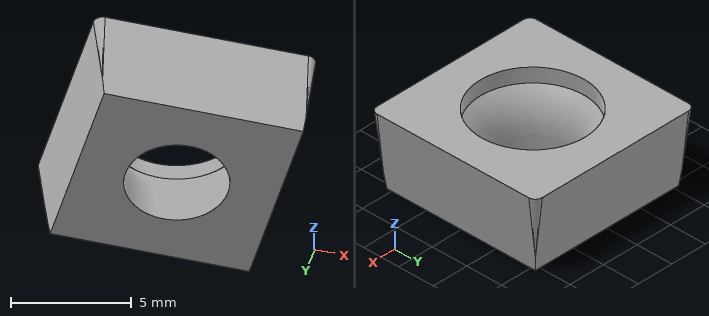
import cadquery as cq
import math

inscribed_circle = 9.525
thickness = 3.97
clearance_angle = 7.0
corner_radius = 0.4

mouth_diameter = 6.0
bore_diameter = 4.4
mouth_depth = 0.8
seat_radius = 3.0

half_top = inscribed_circle / 2
flank_slope = math.tan(math.radians(clearance_angle))
half_bottom = half_top - thickness * flank_slope
corner_center = half_top - corner_radius
cone_height = corner_radius / flank_slope


def tapered_block():
    """Sharp-cornered block, full size on the top face at Z = thickness."""
    return (
        cq.Workplane("XY")
        .rect(2 * half_bottom, 2 * half_bottom)
        .workplane(offset=thickness)
        .rect(2 * half_top, 2 * half_top)
        .loft(ruled=True)
    )


def corner_cone(x_sign, y_sign):
    """Conical nose with a vertical axis, tangent to both neighbouring flanks."""
    center = cq.Vector(x_sign * corner_center, y_sign * corner_center, thickness)
    return cq.Solid.makeCone(corner_radius, 0, cone_height, pnt=center, dir=cq.Vector(0, 0, -1))


def corner_trim(x_sign, y_sign):
    """Stock outside the conical nose, down to the tip of the cone."""
    block_center = (x_sign * half_top, y_sign * half_top, thickness - cone_height / 2)
    block = cq.Workplane("XY", origin=block_center).box(2 * corner_radius, 2 * corner_radius, cone_height)
    return block.cut(cq.Workplane(obj=corner_cone(x_sign, y_sign)))


def screw_hole():
    """Revolved hole; the seat arc is tangent to the bore."""
    mouth_radius = mouth_diameter / 2
    bore_radius = bore_diameter / 2
    mouth_floor = thickness - mouth_depth
    step = mouth_radius - bore_radius
    seat_height = math.sqrt(seat_radius**2 - (seat_radius - step) ** 2)
    seat_bottom = mouth_floor - seat_height
    arc_half_angle = math.acos((seat_radius - step) / seat_radius) / 2
    arc_middle = (
        bore_radius + seat_radius * (1 - math.cos(arc_half_angle)),
        seat_bottom + seat_radius * math.sin(arc_half_angle),
    )
    return (
        cq.Workplane("XZ")
        .moveTo(0, 0)
        .lineTo(bore_radius, 0)
        .lineTo(bore_radius, seat_bottom)
        .threePointArc(arc_middle, (mouth_radius, mouth_floor))
        .lineTo(mouth_radius, thickness)
        .lineTo(0, thickness)
        .close()
        .revolve(360, (0, 0, 0), (0, 1, 0))
    )


result = tapered_block()
for x_sign in (-1, 1):
    for y_sign in (-1, 1):
        result = result.cut(corner_trim(x_sign, y_sign))
result = result.cut(screw_hole())